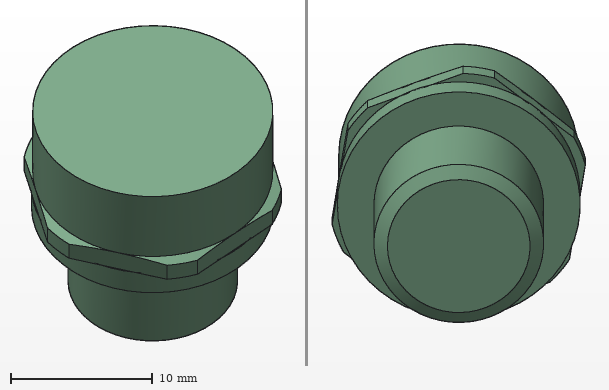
import cadquery as cq
import math

body_diameter = 17.01
collar_diameter = 17.2
stem_diameter = 12.02
hex_across_flats = 17.01
hex_corner_diameter = 18.49

stem_length = 8.0
collar_height = 1.96
hex_height = 1.6
total_height = 17.6

stem_bevel_height = 0.52
stem_bevel_width = 0.96
hex_bevel_height = 0.2
hex_bevel_width = (hex_corner_diameter - body_diameter) / 2

collar_base = stem_length
hex_base = collar_base + collar_height
body_base = hex_base + hex_height


def cylinder(diameter, base, height):
    return cq.Workplane("XY").workplane(offset=base).circle(diameter / 2).extrude(height)


def make_stem():
    """Plain stem with a bevelled lower end."""
    stem = cylinder(stem_diameter, 0, stem_length)
    return stem.faces("<Z").chamfer(stem_bevel_height, stem_bevel_width)


def make_hex_flange():
    """Hexagon with flats facing +Y and -Y, corners rounded and top bevelled."""
    across_corners = hex_across_flats / math.cos(math.radians(30))
    hexagon = (
        cq.Workplane("XY")
        .workplane(offset=hex_base)
        .polygon(6, across_corners)
        .extrude(hex_height)
    )
    envelope = cylinder(hex_corner_diameter, hex_base, hex_height)
    envelope = envelope.faces(">Z").chamfer(hex_bevel_height, hex_bevel_width)
    return hexagon.intersect(envelope)


collar = cylinder(collar_diameter, collar_base, collar_height)
body = cylinder(body_diameter, body_base, total_height - body_base)

result = make_stem().union(collar).union(make_hex_flange()).union(body)